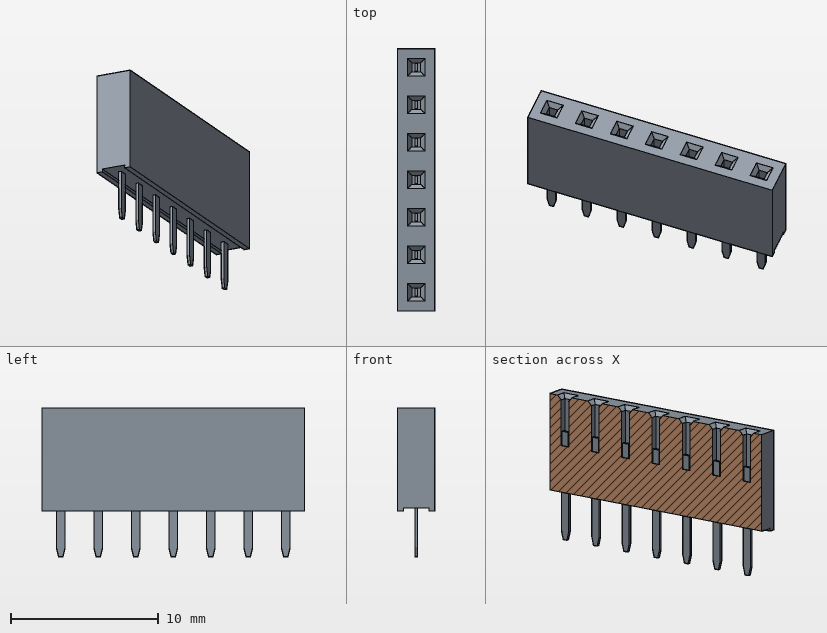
import cadquery as cq

PIN_COUNT = 7
PITCH = 2.54

BODY_WIDTH = PITCH
BODY_LENGTH = PIN_COUNT * PITCH
BODY_HEIGHT = 7.0
FOOT_WIDTH = 0.42
FOOT_HEIGHT = 0.2

LEAD_IN_OPENING = 1.2
WELL_SIZE = 0.6
LEAD_IN_DEPTH = (LEAD_IN_OPENING - WELL_SIZE) / 2
WELL_DEPTH = 3.5

PIN_THICKNESS = 0.2
PIN_WIDTH = 0.6
PIN_TIP_WIDTH = 0.3
PIN_TAPER_HEIGHT = 0.6
PIN_LENGTH_BELOW_BODY = 3.1
CONTACT_WIDTH = 0.5
CONTACT_HEIGHT = 1.0

WELL_FLOOR_Z = BODY_HEIGHT - WELL_DEPTH
LEAD_IN_BOTTOM_Z = BODY_HEIGHT - LEAD_IN_DEPTH
PIN_TIP_Z = -PIN_LENGTH_BELOW_BODY
PIN_SHOULDER_Z = PIN_TIP_Z + PIN_TAPER_HEIGHT


def make_housing():
    """Block with a full-length channel underneath, leaving a foot along each side."""
    block = cq.Workplane("XY").box(BODY_WIDTH, BODY_LENGTH, BODY_HEIGHT, centered=(True, True, False))
    channel_width = BODY_WIDTH - 2 * FOOT_WIDTH
    channel = cq.Workplane("XY").box(channel_width, BODY_LENGTH, FOOT_HEIGHT, centered=(True, True, False))
    return block.cut(channel)


def make_socket(y):
    """Cavity of one socket: square lead-in narrowing to a straight well."""
    lead_in = (
        cq.Workplane("XY", origin=(0, y, BODY_HEIGHT))
        .rect(LEAD_IN_OPENING, LEAD_IN_OPENING)
        .workplane(offset=-LEAD_IN_DEPTH)
        .rect(WELL_SIZE, WELL_SIZE)
        .loft(ruled=True)
    )
    well = (
        cq.Workplane("XY", origin=(0, y, WELL_FLOOR_Z))
        .rect(WELL_SIZE, WELL_SIZE)
        .extrude(LEAD_IN_BOTTOM_Z - WELL_FLOOR_Z)
    )
    return lead_in.union(well)


def make_pin(y):
    """Flat board pin with a tapered tip, running up inside the housing to the well floor."""
    half_width = PIN_WIDTH / 2
    half_tip = PIN_TIP_WIDTH / 2
    outline = [
        (-half_width, WELL_FLOOR_Z),
        (-half_width, PIN_SHOULDER_Z),
        (-half_tip, PIN_TIP_Z),
        (half_tip, PIN_TIP_Z),
        (half_width, PIN_SHOULDER_Z),
        (half_width, WELL_FLOOR_Z),
    ]
    return (
        cq.Workplane("YZ", origin=(0, y, 0))
        .polyline(outline)
        .close()
        .extrude(PIN_THICKNESS / 2, both=True)
    )


def make_contact(y):
    """Contact blade standing on the floor of the well."""
    return (
        cq.Workplane("XY", origin=(0, y, WELL_FLOOR_Z))
        .rect(PIN_THICKNESS, CONTACT_WIDTH)
        .extrude(CONTACT_HEIGHT)
    )


result = make_housing()
for index in range(PIN_COUNT):
    pin_y = (index - (PIN_COUNT - 1) / 2) * PITCH
    result = result.cut(make_socket(pin_y))
    result = result.union(make_pin(pin_y))
    result = result.union(make_contact(pin_y))